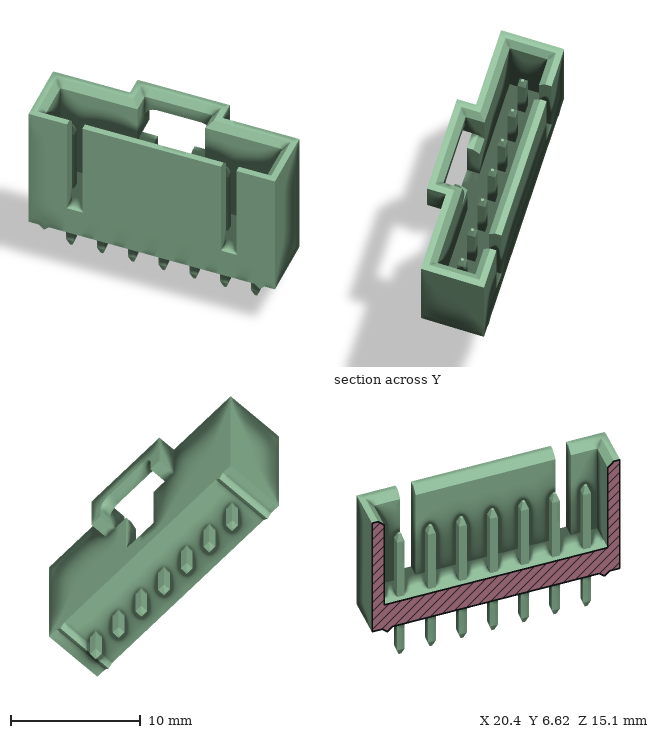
import cadquery as cq


overall_height = 15.12

pin_count = 7
pitch = 2.55
housing_length = (pin_count + 1) * pitch
housing_depth = 2 * pitch
housing_height = 4.5 * pitch
wall = 1.02
lead_in = 0.5
lead_in_drop = 0.53
floor_thickness = pitch

latch_length = 3 * pitch
latch_projection = 1.52
latch_height = 1.5 * pitch
lintel_height = 1.63
window_radius = 1.02

front_slot_width = 1.25
front_slot_offset = 2.5 * pitch
back_slot_width = 3.05

ridge_offset = 3.5 * pitch
ridge_height = 0.4

pin_width = pitch / 4
pin_tip_width = 0.2
pin_taper_length = 0.65
pin_tail = overall_height - housing_height
pin_top = housing_height - pitch

latch_bottom = housing_height - latch_height
latch_back = housing_depth + latch_projection
cavity_length = housing_length - 2 * wall
cavity_back = housing_depth - wall
latch_inner_length = latch_length - 2 * wall
latch_inner_back = latch_back - wall


def block(length, y_front, y_back, z_bottom, z_top, x_center=0):
    """Box centred on x_center and spanning the given Y and Z ranges."""
    return (
        cq.Workplane("XY", origin=(x_center, y_front, z_bottom))
        .box(length, y_back - y_front, z_top - z_bottom, centered=(True, False, False))
    )


def flared_mouth(length, y_front, y_back):
    """Frustum that widens a rectangular opening by the lead-in at the rim."""
    center_y = (y_front + y_back) / 2
    depth = y_back - y_front
    return (
        cq.Workplane("XY", origin=(0, center_y, housing_height - lead_in_drop))
        .rect(length, depth)
        .workplane(offset=lead_in_drop)
        .rect(length + 2 * lead_in, depth + 2 * lead_in)
        .loft(ruled=True)
    )


def outer_body():
    body = block(housing_length, 0, housing_depth, 0, housing_height)
    latch = block(latch_length, housing_depth, latch_back, latch_bottom, housing_height)
    return body.union(latch)


def main_cavity():
    cavity = block(cavity_length, wall, cavity_back, floor_thickness, housing_height)
    return cavity.union(flared_mouth(cavity_length, wall, cavity_back))


def latch_cavity():
    """Opening through the back wall into the latch box, open below the box."""
    opening = block(latch_inner_length, wall, latch_inner_back, latch_bottom, housing_height)
    return opening.union(flared_mouth(latch_inner_length, wall, latch_inner_back))


def lead_in_below_latch():
    """Bevel on the inner edge of the back wall where the latch opening lowers it."""
    return (
        cq.Workplane("YZ", origin=(-latch_inner_length / 2, 0, 0))
        .moveTo(cavity_back, latch_bottom - lead_in_drop)
        .lineTo(cavity_back + lead_in, latch_bottom)
        .lineTo(cavity_back, latch_bottom)
        .close()
        .extrude(latch_inner_length)
    )


def latch_window():
    """Opening in the latch back wall, with rounded upper corners."""
    window_top = housing_height - lintel_height
    window = block(latch_inner_length, latch_inner_back, latch_back, latch_bottom, window_top)
    return window.edges("|Y and >Z").fillet(window_radius)


def wall_slots():
    slots = block(back_slot_width, cavity_back, housing_depth, floor_thickness, latch_bottom)
    for side in (-1, 1):
        x_center = side * front_slot_offset
        slots = slots.union(block(front_slot_width, 0, wall, floor_thickness, housing_height, x_center))
    return slots


def standoff_ridge(x_center):
    return (
        cq.Workplane("XZ", origin=(x_center, 0, 0))
        .polyline([(-ridge_height, 0), (0, -ridge_height), (ridge_height, 0)])
        .close()
        .extrude(-housing_depth)
    )


def pin_taper(z_shaft, z_tip):
    return (
        cq.Workplane("XY", origin=(0, housing_depth / 2, z_shaft))
        .rect(pin_width, pin_width)
        .workplane(offset=z_tip - z_shaft)
        .rect(pin_tip_width, pin_tip_width)
        .loft(ruled=True)
    )


def pin():
    shaft_bottom = pin_taper_length - pin_tail
    shaft_top = pin_top - pin_taper_length
    y_center = housing_depth / 2
    shaft = block(pin_width, y_center - pin_width / 2, y_center + pin_width / 2, shaft_bottom, shaft_top)
    return shaft.union(pin_taper(shaft_bottom, -pin_tail)).union(pin_taper(shaft_top, pin_top))


result = outer_body()
for opening in (main_cavity(), latch_cavity(), lead_in_below_latch(), latch_window(), wall_slots()):
    result = result.cut(opening)
for side in (-1, 1):
    result = result.union(standoff_ridge(side * ridge_offset))
for index in range(pin_count):
    pin_x = (index - (pin_count - 1) / 2) * pitch
    result = result.union(pin().translate((pin_x, 0, 0)))